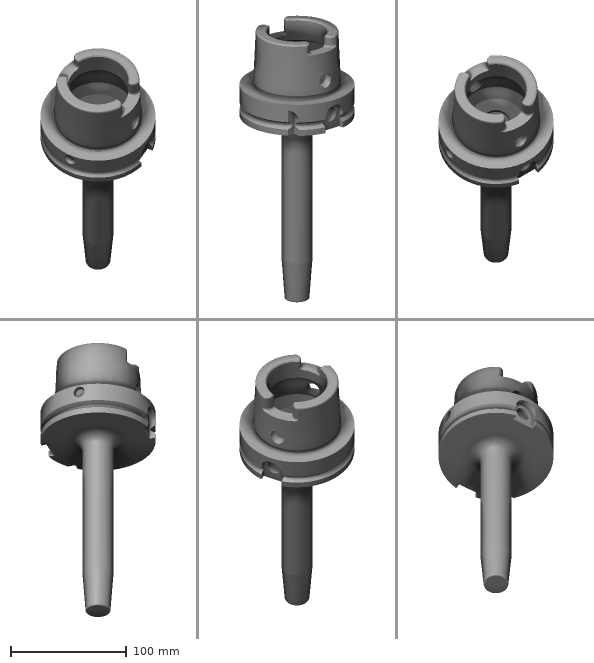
import cadquery as cq
import math

total_height = 250.0

flange_radius = 50.0
flange_top = 200.0
flange_bottom = 171.0

groove_top = 183.5
groove_bottom = 176.5
groove_radius = 46.0
groove_flank_angle = 30.0
groove_root_fillet = 0.7
groove_flank_height = (flange_radius - groove_radius) * math.tan(math.radians(groove_flank_angle))

shank_top_radius = 36.0
shank_base_radius = 38.2
shank_base = 203.5
relief_radius = 37.7
relief_top = 202.0
relief_fillet = 1.2
relief_outer_radius = 39.5
relief_depth = 0.5

stem_radius = 13.5
stem_fillet = 10.5
nose_start = 37.5
nose_radius = 10.7
nose_round = 1.2

bore_radius = 26.5
bore_chamfer = 1.0
bore_depth = 19.2
undercut_radius = 31.5
undercut_flank_angle = 30.0
undercut_bottom = 207.5
bore_floor = 200.0
bore_floor_radius = 24.5
center_bore_radius = 12.0
center_bore_depth = 2.5
center_hole_radius = 4.0
center_hole_depth = 7.5

drive_slot_width = 20.0
left_slot_depth = 10.0
right_slot_depth = 14.5
lug_face = 32.0
lug_corner_radius = 6.0
slot_floor_fillet = 2.2
rim_round = 1.7

cross_hole_radius = 6.5
cross_hole_height = 214.2
cross_hole_tilt = 13.0

keyway_width = 20.0
keyway_center_height = 185.2
keyway_floor = 44.0
key_hole_radius = 6.5
key_hole_height = 184.5
key_hole_depth = 5.0
drill_point_angle = 118.0

notch_center_y = 41.5
notch_floor = 32.0

chip_radius = 5.0
chip_height = 193.5
chip_floor = 45.5
chip_chamfer = 0.5
chip_dimple_radius = 0.7

margin = 2.5


def make_body():
    """Solid of revolution: nose, stem, flange and shank without the bore."""
    relief_floor = flange_top - relief_depth
    groove_root = cq.selectors.BoxSelector(
        (-margin, -margin, groove_bottom + groove_flank_height / 2),
        (margin, margin, groove_top - groove_flank_height / 2),
    )
    fillet_middle = stem_fillet * (1 - math.sqrt(0.5))
    return (
        cq.Workplane("XZ")
        .moveTo(0, 0)
        .lineTo(nose_radius, 0)
        .lineTo(stem_radius, nose_start)
        .lineTo(stem_radius, flange_bottom - stem_fillet)
        .threePointArc(
            (stem_radius + fillet_middle, flange_bottom - fillet_middle),
            (stem_radius + stem_fillet, flange_bottom),
        )
        .lineTo(flange_radius, flange_bottom)
        .lineTo(flange_radius, groove_bottom)
        .lineTo(groove_radius, groove_bottom + groove_flank_height)
        .lineTo(groove_radius, groove_top - groove_flank_height)
        .lineTo(flange_radius, groove_top)
        .lineTo(flange_radius, flange_top)
        .lineTo(relief_outer_radius, flange_top)
        .lineTo(relief_radius + relief_fillet, relief_floor)
        .radiusArc((relief_radius, relief_floor + relief_fillet), relief_fillet)
        .lineTo(relief_radius, relief_top)
        .lineTo(shank_base_radius, shank_base)
        .lineTo(shank_top_radius, total_height)
        .lineTo(0, total_height)
        .close()
        .revolve(360, (0, 0, 0), (0, 1, 0))
        .faces("<Z")
        .edges()
        .fillet(nose_round)
        .edges(groove_root)
        .fillet(groove_root_fillet)
    )


def cone_depth(radius):
    """Depth of the drill point with the given mouth radius."""
    return radius / math.tan(math.radians(drill_point_angle / 2))


def make_bore():
    """Cavity of the shank: undercut bore, flat floor and drilled centre."""
    undercut_lip = total_height - bore_depth
    undercut_drop = (undercut_radius - bore_radius) * math.tan(math.radians(undercut_flank_angle))
    step_floor = bore_floor - center_bore_depth
    hole_end = step_floor - center_hole_depth
    return (
        cq.Workplane("XZ")
        .moveTo(0, total_height)
        .lineTo(bore_radius + bore_chamfer, total_height)
        .lineTo(bore_radius, total_height - bore_chamfer)
        .lineTo(bore_radius, undercut_lip)
        .lineTo(undercut_radius, undercut_lip - undercut_drop)
        .lineTo(undercut_radius, undercut_bottom)
        .lineTo(bore_floor_radius, bore_floor)
        .lineTo(center_bore_radius, bore_floor)
        .lineTo(center_bore_radius, step_floor)
        .lineTo(center_hole_radius, step_floor)
        .lineTo(center_hole_radius, hole_end)
        .lineTo(0, hole_end - cone_depth(center_hole_radius))
        .close()
        .revolve(360, (0, 0, 0), (0, 1, 0))
    )


def make_drive_slot(side, depth):
    """Slot through the rim on one side (-1 left, +1 right), flared outwards around the lugs."""
    half_width = drive_slot_width / 2
    length = flange_radius
    channel = cq.Workplane("XY").box(length, drive_slot_width, depth, centered=(False, True, False))
    flare = (
        cq.Workplane("XY", origin=(lug_face, 0, 0))
        .box(length - lug_face, 2 * drive_slot_width, depth, centered=(False, True, False))
    )
    inner_corners = cq.selectors.BoxSelector(
        (lug_face - margin, -half_width - margin, 0),
        (lug_face + margin, half_width + margin, depth),
    )
    slot = (
        channel.union(flare)
        .edges("|Z")
        .edges(inner_corners)
        .fillet(lug_corner_radius)
        .faces("<Z").edges()
        .fillet(slot_floor_fillet)
        .translate((0, 0, total_height - depth))
    )
    return slot if side > 0 else slot.mirror("YZ")


def make_cross_hole(side):
    """Round hole through one shank wall, rising towards the axis."""
    rise = math.radians(cross_hole_tilt)
    mouth = cq.Vector(side * shank_base_radius, 0, cross_hole_height)
    inward = cq.Vector(-side * math.cos(rise), 0, math.sin(rise))
    length = shank_base_radius - bore_radius + 2 * margin
    start = mouth - inward * margin
    return cq.Workplane(obj=cq.Solid.makeCylinder(cross_hole_radius, length, start, inward))


def make_round_top_slot(side, center_y, floor):
    """Arch-topped slot, open at the flange bottom, cut in along X to the floor."""
    depth = flange_radius - floor
    middle_x = side * (floor + depth / 2)
    straight_height = keyway_center_height - flange_bottom
    straight = (
        cq.Workplane("XY", origin=(middle_x, center_y, flange_bottom))
        .rect(depth, keyway_width)
        .extrude(straight_height)
    )
    arch = (
        cq.Workplane("YZ", origin=(middle_x, center_y, keyway_center_height))
        .circle(keyway_width / 2)
        .extrude(depth / 2, both=True)
    )
    return straight.union(arch)


def make_key_hole(side):
    """Drilled blind hole in the floor of one keyway."""
    hole_end = keyway_floor - key_hole_depth
    hole_tip = hole_end - cone_depth(key_hole_radius)
    hole = (
        cq.Workplane("XY", origin=(0, 0, key_hole_height))
        .moveTo(keyway_floor, 0)
        .lineTo(keyway_floor, key_hole_radius)
        .lineTo(hole_end, key_hole_radius)
        .lineTo(hole_tip, 0)
        .close()
        .revolve(360, (0, 0, 0), (1, 0, 0))
    )
    return hole if side > 0 else hole.mirror("YZ")


def make_chip_pocket():
    """Chamfered round pocket in the -Y side with a small dimple in its floor."""
    chamfer_end = flange_radius - chip_chamfer
    dimple_end = chip_floor - chip_dimple_radius
    return (
        cq.Workplane("XY", origin=(0, 0, chip_height))
        .moveTo(0, -flange_radius)
        .lineTo(chip_radius + chip_chamfer, -flange_radius)
        .lineTo(chip_radius, -chamfer_end)
        .lineTo(chip_radius, -chip_floor)
        .lineTo(chip_dimple_radius, -chip_floor)
        .lineTo(0, -dimple_end)
        .close()
        .revolve(360, (0, 0, 0), (0, 1, 0))
    )


drive_slots = ((-1, left_slot_depth), (1, right_slot_depth))

result = make_body()
for side, depth in drive_slots:
    result = result.cut(make_drive_slot(side, depth))
result = result.faces(">Z").edges().fillet(rim_round)
result = result.cut(make_bore())

for side in (-1, 1):
    result = result.cut(make_cross_hole(side))
    result = result.cut(make_round_top_slot(side, 0, keyway_floor))
    result = result.cut(make_key_hole(side))

result = result.cut(make_round_top_slot(-1, notch_center_y, notch_floor))
result = result.cut(make_chip_pocket())